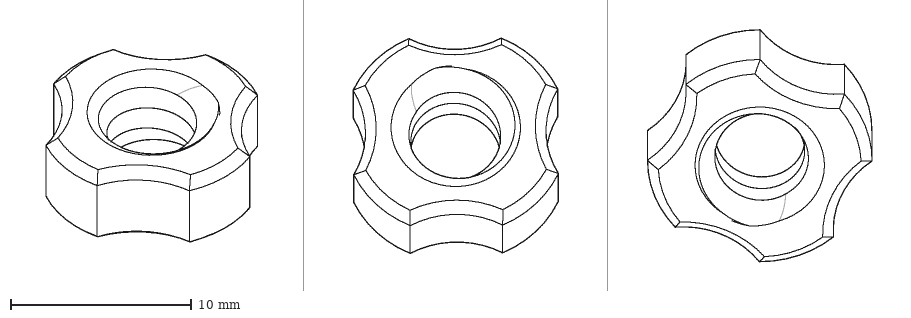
import cadquery as cq
import math


outer_diameter = 12.47
height = 5.0
edge_chamfer = 0.6

grip_radius = 5.25
grip_offset = 7.26

bore_radius = 2.5
thread_pitch = 1.5
crest_flat = 0.01
thread_flank_angle = 30.0
thread_phase = 62.0
countersink_radius = 3.59
countersink_depth = 0.56


def make_body():
    """Chamfered disc with four concave finger grips."""
    disc = cq.Workplane("XY").circle(outer_diameter / 2).extrude(height)
    grip_centres = [(x * grip_offset, y * grip_offset) for x in (-1, 1) for y in (-1, 1)]
    grips = cq.Workplane("XY").pushPoints(grip_centres).circle(grip_radius).extrude(height)
    return disc.cut(grips).faces("<Z or >Z").chamfer(edge_chamfer)


def make_bore():
    """Through hole with a conical countersink at each end."""
    return (
        cq.Workplane("XZ")
        .polyline(
            [
                (0, 0),
                (countersink_radius, 0),
                (bore_radius, countersink_depth),
                (bore_radius, height - countersink_depth),
                (countersink_radius, height),
                (0, height),
            ]
        )
        .close()
        .revolve(360, (0, 0, 0), (0, 1, 0))
    )


def make_thread_groove():
    """Right-handed V groove that runs out past both ends of the nut."""
    mouth_half_width = (thread_pitch - crest_flat) / 2
    root_radius = bore_radius + mouth_half_width / math.tan(math.radians(thread_flank_angle))
    profile = [(bore_radius, -mouth_half_width), (root_radius, 0), (bore_radius, mouth_half_width)]

    turns_inside = height / thread_pitch
    groove_length = (math.ceil(turns_inside) + 2) * thread_pitch

    helices = [
        cq.Wire.makeHelix(thread_pitch, groove_length, radius).translate(cq.Vector(0, 0, z))
        for radius, z in profile
    ]
    faces = [cq.Face.makeRuledSurface(helices[i - 1], helices[i]) for i in range(len(helices))]
    for end_z in (0, groove_length):
        corners = [cq.Vector(radius, 0, z + end_z) for radius, z in profile]
        faces.append(cq.Face.makeFromWires(cq.Wire.makePolygon(corners, close=True)))
    groove = cq.Workplane(obj=cq.Solid.makeSolid(cq.Shell.makeShell(faces)))

    start_angle = thread_phase - 360 * (turns_inside + 1)
    return groove.rotate((0, 0, 0), (0, 0, 1), start_angle).translate((0, 0, -thread_pitch))


result = make_body().cut(make_bore()).cut(make_thread_groove())